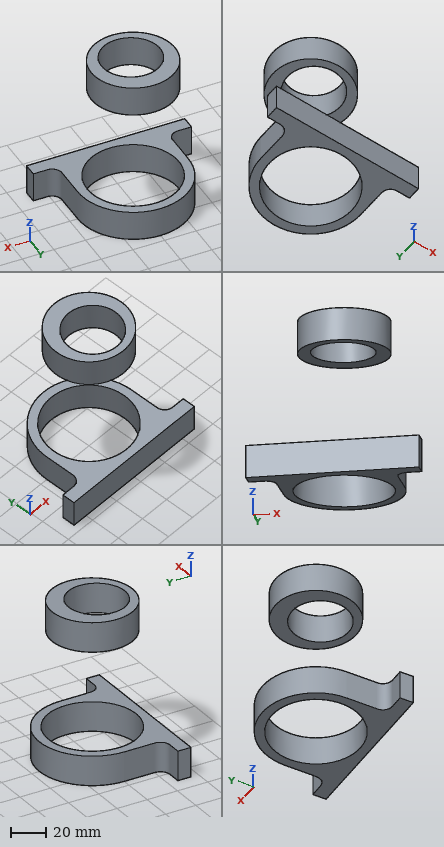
import cadquery as cq

thickness = 19.1
total_height = 100.6

foot_length = 100.0
foot_depth = 8.7
housing_diameter = 70.0
bore_diameter = 58.0
foot_fillet_radius = 6.2

ring_diameter = 53.0
ring_hole_diameter = 37.1
ring_hole_offset = 2.9
ring_bottom = total_height - thickness

housing_radius = housing_diameter / 2
foot_back = -housing_radius
foot_front = foot_back + foot_depth


def make_housing():
    """Round-ended bearing housing with a flat foot and a through bore."""
    half_foot = foot_length / 2
    outline = (
        cq.Workplane("XY")
        .moveTo(-half_foot, foot_back)
        .lineTo(half_foot, foot_back)
        .lineTo(half_foot, foot_front)
        .lineTo(housing_radius, foot_front)
        .lineTo(housing_radius, 0)
        .threePointArc((0, housing_radius), (-housing_radius, 0))
        .lineTo(-housing_radius, foot_front)
        .lineTo(-half_foot, foot_front)
        .close()
    )
    body = outline.extrude(thickness)

    selection_margin = 1.0
    inside_corners = cq.selectors.BoxSelector(
        (-housing_radius - selection_margin, foot_front - selection_margin, -selection_margin),
        (housing_radius + selection_margin, foot_front + selection_margin, thickness + selection_margin),
    )
    body = body.edges("|Z").edges(inside_corners).fillet(foot_fillet_radius)

    bore = cq.Workplane("XY").circle(bore_diameter / 2).extrude(thickness)
    return body.cut(bore).solids()


def make_eccentric_ring():
    """Plain ring whose hole is off centre."""
    plane = cq.Workplane("XY", origin=(0, 0, ring_bottom))
    disc = plane.circle(ring_diameter / 2).extrude(thickness)
    hole = plane.center(0, -ring_hole_offset).circle(ring_hole_diameter / 2).extrude(thickness)
    return disc.cut(hole).solids()


housing = make_housing()
eccentric_ring = make_eccentric_ring()

result = cq.Compound.makeCompound([housing.val(), eccentric_ring.val()])